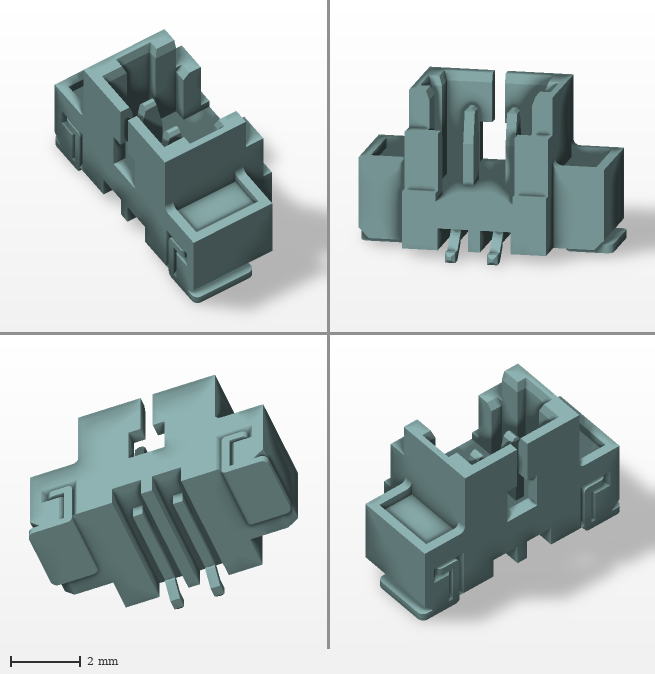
import cadquery as cq


STANDOFF = 0.25
TOWER_HALF = 2.125
TOWER_BACK = 2.81
TOWER_TOP = 4.75
POST_BACK = 3.41
POST_TOP = 3.64
LEDGE_BACK = 3.71
LEDGE_TOP = 1.95

WING_HALF = 3.625
WING_BACK = 2.725
WING_TOP = 2.65
WING_WALL = 0.29
WING_POCKET_DEPTH = 0.3
WING_CHAMFER = 0.3
WING_FILLET = 0.2

FLOOR_Z = 1.7
CAVITY_HALF = 1.52
CAVITY_FRONT = 0.41
KEY_HALF = 1.83
KEY_FRONT = 1.1
KEY_BACK = 2.1
LEAD_IN_WIDTH = 0.1
LEAD_IN_DEPTH = 0.27
REAR_OPENING_HALF = 1.135
POST_CHAMFER = 0.2

SLOT_HALF = 0.19
WINDOW_HALF = 0.555
WINDOW_BOTTOM = 2.1
WINDOW_TOP = 3.3

PITCH = 1.25
CONTACT_XS = (-PITCH / 2, PITCH / 2)
CONTACT_WIDTH = 0.3
BLADE_FRONT = 0.875
BLADE_BACK = 1.64
BLADE_TOP = 3.95
TIP_FRONT = 1.08
TIP_BACK = 1.44
TIP_TAPER_START = 2.93
TIP_CHAMFER = 0.1
LEG_THICKNESS = 0.3
LEG_BOTTOM = 0.5
LEG_STEP_Z = 0.4
LEG_BEND_Y = 3.39
TAIL_END = 4.21
TAIL_CHAMFER = 0.1
LEG_NOTCH_WIDTH = 0.9
LEG_NOTCH_TOP = 0.9

CLIP_THICKNESS = STANDOFF
CLIP_DEPTH = 2.05
CLIP_INNER = 2.325
CLIP_OUTER = CLIP_INNER + CLIP_THICKNESS
CLIP_ARM_END = 3.125
CLIP_ARM_TOP = 1.69
CLIP_ARM_BOTTOM = CLIP_ARM_TOP - CLIP_THICKNESS
CLIP_FOOT_END = 3.725
CLIP_BEND = 0.15
CLIP_CORNER = 0.2
CLIP_LEAD_IN = 0.15


def box(x0, x1, y0, y1, z0, z1):
    """Axis-aligned block between two opposite corners."""
    return cq.Workplane("XY").box(x1 - x0, y1 - y0, z1 - z0, centered=False).translate((x0, y0, z0))


def centred_box(half, y0, y1, z0, z1):
    """Block symmetric about the centre plane X = 0."""
    return box(-half, half, y0, y1, z0, z1)


def mirrored(shape):
    """A feature together with its mirror image across X = 0."""
    return shape.union(shape.mirror("YZ"))


def housing_body():
    tower = centred_box(TOWER_HALF, 0, TOWER_BACK, STANDOFF, TOWER_TOP)
    posts = centred_box(TOWER_HALF, 0, POST_BACK, STANDOFF, POST_TOP)
    ledge = centred_box(TOWER_HALF, 0, LEDGE_BACK, STANDOFF, LEDGE_TOP)
    wings = centred_box(WING_HALF, 0, WING_BACK, STANDOFF, WING_TOP)
    wings = wings.edges("|Y and <Z").chamfer(WING_CHAMFER)
    body = tower.union(posts).union(ledge).union(wings)
    body = body.union(mirrored(wing_fillet()))
    return body.cut(mirrored(wing_pocket()))


def wing_fillet():
    corner = (TOWER_HALF, WING_TOP)
    middle_offset = WING_FILLET * (1 - 0.5 ** 0.5)
    return (
        cq.Workplane("XZ")
        .moveTo(*corner)
        .lineTo(corner[0] + WING_FILLET, corner[1])
        .threePointArc(
            (corner[0] + middle_offset, corner[1] + middle_offset),
            (corner[0], corner[1] + WING_FILLET),
        )
        .close()
        .extrude(-WING_BACK)
    )


def wing_pocket():
    return box(
        TOWER_HALF, WING_HALF - WING_WALL,
        WING_WALL, WING_BACK - WING_WALL,
        WING_TOP - WING_POCKET_DEPTH, WING_TOP + WING_FILLET,
    )


def cavity_outline(margin):
    """Keyed cavity section, grown by the margin and running out through the open rear."""
    right = [
        (CAVITY_HALF + margin, CAVITY_FRONT - margin),
        (CAVITY_HALF + margin, KEY_FRONT - margin),
        (KEY_HALF + margin, KEY_FRONT - margin),
        (KEY_HALF + margin, KEY_BACK + margin),
        (CAVITY_HALF + margin, KEY_BACK + margin),
        (CAVITY_HALF + margin, TOWER_BACK),
    ]
    left = [(-x, y) for x, y in reversed(right)]
    return right + left


def cavity():
    lead_in_z = TOWER_TOP - LEAD_IN_DEPTH
    well = (
        cq.Workplane("XY", origin=(0, 0, FLOOR_Z))
        .polyline(cavity_outline(0)).close()
        .extrude(TOWER_TOP - FLOOR_Z)
    )
    lead_in = (
        cq.Workplane("XY", origin=(0, 0, lead_in_z))
        .polyline(cavity_outline(0)).close()
        .workplane(offset=LEAD_IN_DEPTH)
        .polyline(cavity_outline(LEAD_IN_WIDTH)).close()
        .loft(ruled=True)
    )
    rear_opening = centred_box(REAR_OPENING_HALF, TOWER_BACK, LEDGE_BACK, FLOOR_Z, TOWER_TOP)
    return well.union(lead_in).union(rear_opening)


def post_chamfer():
    """Ramp across the front of both post lips, within the cavity width."""
    return (
        cq.Workplane("YZ", origin=(-CAVITY_HALF, 0, 0))
        .polyline([
            (TOWER_BACK, POST_TOP),
            (TOWER_BACK + POST_CHAMFER, POST_TOP),
            (TOWER_BACK, POST_TOP - POST_CHAMFER),
        ])
        .close()
        .extrude(2 * CAVITY_HALF)
    )


def latch_opening():
    slot = centred_box(SLOT_HALF, 0, CAVITY_FRONT, WINDOW_TOP, TOWER_TOP)
    window = centred_box(WINDOW_HALF, 0, CAVITY_FRONT, WINDOW_BOTTOM, WINDOW_TOP)
    return slot.union(window)


def contact_passage(x):
    """Relief for one leg, open underneath, and the hole its blade rises through."""
    half_notch = LEG_NOTCH_WIDTH / 2
    half_blade = CONTACT_WIDTH / 2
    notch = box(x - half_notch, x + half_notch, 0, LEDGE_BACK, STANDOFF, LEG_NOTCH_TOP)
    hole = box(x - half_blade, x + half_blade, BLADE_FRONT, BLADE_BACK, LEG_NOTCH_TOP, FLOOR_Z)
    return notch.union(hole)


def clip_slot_outline(margin, bottom):
    return [
        (CLIP_INNER - margin, bottom),
        (CLIP_INNER - margin, CLIP_ARM_TOP + margin),
        (CLIP_ARM_END + margin, CLIP_ARM_TOP + margin),
        (CLIP_ARM_END + margin, CLIP_ARM_BOTTOM - margin),
        (CLIP_OUTER + margin, CLIP_ARM_BOTTOM - margin),
        (CLIP_OUTER + margin, bottom),
    ]


def clip_slot():
    slot = (
        cq.Workplane("XZ")
        .polyline(clip_slot_outline(0, STANDOFF)).close()
        .extrude(-CLIP_DEPTH)
    )
    flare = (
        cq.Workplane("XZ")
        .polyline(clip_slot_outline(CLIP_LEAD_IN, STANDOFF)).close()
        .workplane(offset=-CLIP_LEAD_IN)
        .polyline(clip_slot_outline(0, STANDOFF + CLIP_LEAD_IN)).close()
        .loft(ruled=True)
    )
    return slot.union(flare)


def make_housing():
    housing = housing_body().cut(cavity()).cut(post_chamfer()).cut(latch_opening())
    for x in CONTACT_XS:
        housing = housing.cut(contact_passage(x))
    return housing.cut(mirrored(clip_slot()))


def make_contact(x):
    """Upright blade with a tapered tip, and a leg cranked down to a tail on the board."""
    tail_bend_y = LEG_BEND_Y + LEG_STEP_Z
    leg_top = LEG_BOTTOM + LEG_THICKNESS
    side = [
        (BLADE_FRONT, LEG_BOTTOM),
        (BLADE_FRONT, TIP_TAPER_START),
        (TIP_FRONT, BLADE_TOP),
        (TIP_BACK, BLADE_TOP),
        (TIP_BACK, BLADE_TOP - TIP_CHAMFER),
        (BLADE_BACK, TIP_TAPER_START),
        (BLADE_BACK, leg_top),
        (tail_bend_y + LEG_THICKNESS - leg_top, leg_top),
        (tail_bend_y, LEG_THICKNESS),
        (TAIL_END, LEG_THICKNESS),
        (TAIL_END, 0),
        (tail_bend_y, 0),
        (LEG_BEND_Y, LEG_STEP_Z),
        (LEG_BEND_Y, LEG_BOTTOM),
    ]
    contact = (
        cq.Workplane("YZ", origin=(x - CONTACT_WIDTH / 2, 0, 0))
        .polyline(side).close()
        .extrude(CONTACT_WIDTH)
    )
    contact = contact.faces(">Z").edges("|Y").chamfer(TIP_CHAMFER)
    return contact.faces(">Y").edges().chamfer(TAIL_CHAMFER)


def make_right_clip():
    """Bent strip: an arm held in the housing, an upright and a foot on the board."""
    strip = (
        cq.Workplane("XZ")
        .polyline([
            (CLIP_INNER, 0),
            (CLIP_INNER, CLIP_ARM_TOP),
            (CLIP_ARM_END, CLIP_ARM_TOP),
            (CLIP_ARM_END, CLIP_ARM_BOTTOM),
            (CLIP_OUTER, CLIP_ARM_BOTTOM),
            (CLIP_OUTER, CLIP_THICKNESS),
            (CLIP_FOOT_END, CLIP_THICKNESS),
            (CLIP_FOOT_END, 0),
        ])
        .close()
        .extrude(-CLIP_DEPTH)
    )
    strip = strip.faces("<X").edges("|Y").fillet(CLIP_BEND)
    strip = strip.faces(">X").edges("|Z").fillet(CLIP_CORNER)
    arm_corners = cq.selectors.BoxSelector(
        (CLIP_ARM_END - CLIP_CORNER, -CLIP_CORNER, CLIP_THICKNESS),
        (CLIP_ARM_END + CLIP_CORNER, CLIP_DEPTH + CLIP_CORNER, CLIP_ARM_TOP),
    )
    return strip.edges("|Z").edges(arm_corners).fillet(CLIP_CORNER)


housing = make_housing()
contacts = [make_contact(x) for x in CONTACT_XS]
right_clip = make_right_clip()
clips = [right_clip, right_clip.mirror("YZ")]

result = cq.Compound.makeCompound(
    [housing.val(), *[contact.val() for contact in contacts], *[clip.val() for clip in clips]]
)